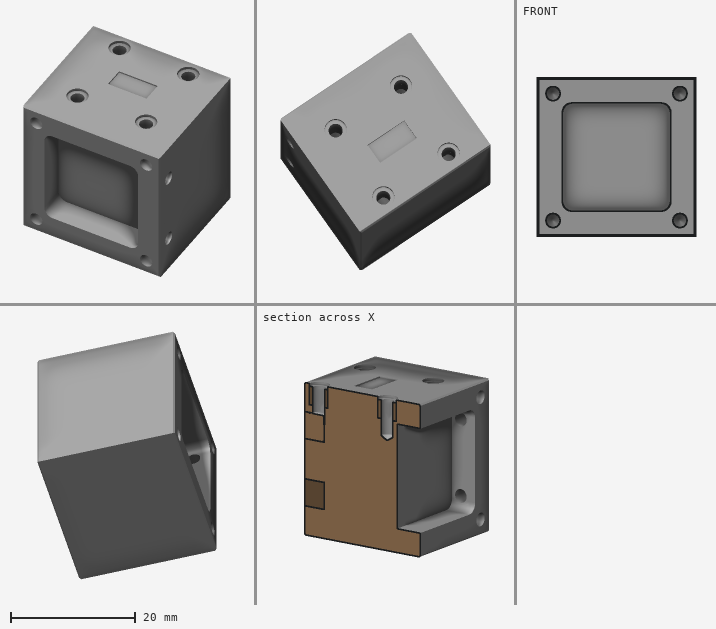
import cadquery as cq
import math

width = 25.4
depth = 22.85
height = 25.4
edge_chamfer = 0.25
front_y = -depth / 2
rear_y = depth / 2
top_z = height / 2
side_x = width / 2

tapping_diameter = 2.25
drill_point_angle = 118.0

pocket_side = 17.32
pocket_depth = 4.55
pocket_corner_radius = 1.55

corner_hole_diameter = tapping_diameter
corner_hole_offset = 10.15
corner_hole_depth = 5.08

port_y = 1.88
port_length = 7.1
port_width = 3.55
port_depth = 0.25
port_hole_diameter = tapping_diameter
port_hole_pitch_x = 12.7
port_hole_pitch_y = 13.45
port_hole_depth = 6.35

sleeve_diameter = 3.55
sleeve_length = 3.05
sleeve_recess = 0.48

wall_hole_y = -8.64
wall_hole_pitch_z = port_hole_pitch_x

pin_diameter = 4.65
pin_length = 3.85
pin_offset = 5.6

overcut = 0.25

port_hole_spots = [
    (x, port_y + y)
    for x in (-port_hole_pitch_x / 2, port_hole_pitch_x / 2)
    for y in (-port_hole_pitch_y / 2, port_hole_pitch_y / 2)
]


def square_spots(offset):
    """The four (x, z) places at an equal offset from both middle planes."""
    return [(x, z) for x in (-offset, offset) for z in (-offset, offset)]


def drill(diameter, length, mouth, direction):
    """A blind hole with a conical end, starting at its mouth centre."""
    radius = diameter / 2
    point_length = radius / math.tan(math.radians(drill_point_angle / 2))
    start = cq.Vector(*mouth)
    axis = cq.Vector(*direction)
    shank = cq.Solid.makeCylinder(radius, length, start, axis)
    point = cq.Solid.makeCone(radius, 0, point_length, start + axis * length, axis)
    return shank.fuse(point)


def make_block():
    """The block with a bevel around its front face and its rear face."""
    return cq.Workplane("XY").box(width, depth, height).faces("<Y or >Y").chamfer(edge_chamfer)


def make_pocket():
    """The round-cornered square that is cut into the front face."""
    return (
        cq.Workplane("XY")
        .box(pocket_side, pocket_depth, pocket_side)
        .edges("|Y")
        .fillet(pocket_corner_radius)
        .translate((0, front_y + pocket_depth / 2, 0))
    )


def make_port_recess():
    """The shallow waveguide rectangle, centred on the top face so that half of it cuts."""
    return cq.Workplane("XY").box(port_length, port_width, 2 * port_depth).translate((0, port_y, top_z))


def make_sleeve_seat(x, y):
    """The wide upper part of a port hole, which holds a sleeve."""
    seat_depth = sleeve_recess + sleeve_length
    return cq.Solid.makeCylinder(sleeve_diameter / 2, seat_depth, cq.Vector(x, y, top_z - seat_depth))


def make_wall_hole(z):
    """A hole from inside the pocket out through the +X side."""
    start_x = pocket_side / 2 - overcut
    length = side_x - start_x + overcut
    start = cq.Vector(start_x, wall_hole_y, z)
    return cq.Solid.makeCylinder(port_hole_diameter / 2, length, start, cq.Vector(1, 0, 0))


def make_pin(x, z):
    """A round pin along Y that ends flush with the rear face."""
    start = cq.Vector(x, rear_y - pin_length, z)
    return cq.Solid.makeCylinder(pin_diameter / 2, pin_length, start, cq.Vector(0, 1, 0))


def make_sleeve(x, y):
    """A plain tube whose bore continues the port hole below it."""
    base = cq.Vector(x, y, top_z - sleeve_recess - sleeve_length)
    outside = cq.Solid.makeCylinder(sleeve_diameter / 2, sleeve_length, base)
    bore = cq.Solid.makeCylinder(port_hole_diameter / 2, sleeve_length, base)
    return cq.Workplane(outside).cut(cq.Workplane(bore)).val()


def make_housing(pins):
    """The block with every pocket and hole; the rear port holes break into the pin seats."""
    housing = make_block().cut(make_pocket()).cut(make_port_recess())
    for x, z in square_spots(corner_hole_offset):
        hole = drill(corner_hole_diameter, corner_hole_depth, (x, front_y, z), (0, 1, 0))
        housing = housing.cut(cq.Workplane(hole))
    for x, y in port_hole_spots:
        hole = drill(port_hole_diameter, port_hole_depth, (x, y, top_z), (0, 0, -1))
        housing = housing.cut(cq.Workplane(hole)).cut(cq.Workplane(make_sleeve_seat(x, y)))
    for z in (-wall_hole_pitch_z / 2, wall_hole_pitch_z / 2):
        housing = housing.cut(cq.Workplane(make_wall_hole(z)))
    for pin in pins:
        housing = housing.cut(cq.Workplane(pin))
    return housing


pins = [make_pin(x, z) for x, z in square_spots(pin_offset)]
sleeves = [make_sleeve(x, y) for x, y in port_hole_spots]
housing = make_housing(pins)

result = cq.Compound.makeCompound([housing.val(), *sleeves, *pins])